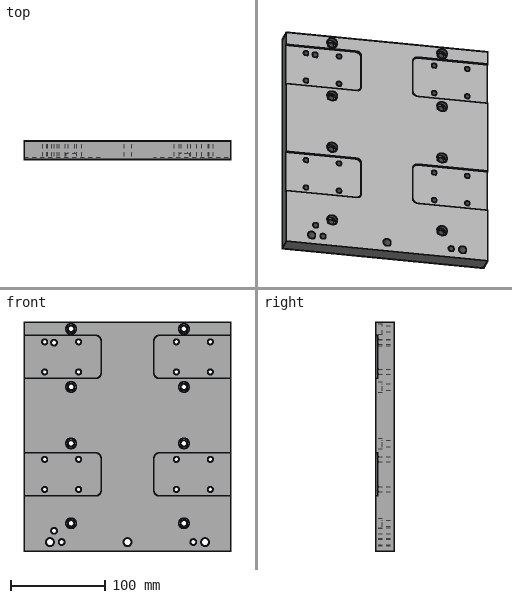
import cadquery as cq

width = 220.0
thickness = 20.0
height = 244.0
front_y = -thickness / 2
bottom_z = -height / 2

pocket_inner_x = 28.0
pocket_length = width / 2 - pocket_inner_x
pocket_height = 45.9
pocket_depth = 2.5
pocket_corner_radius = 5.9
pocket_rows_z = (85.0, -40.0)

pattern_center_x = 70.0
pattern_pitch_x = 36.0
pattern_pitch_z = 32.0
pattern_hole_diameter = 5.4

bolt_x = 60.0
bolt_rows_z = [bottom_z + rise for rise in (30.0, 115.0, 175.0, 236.7)]
bolt_hole_diameter = 6.5
counterbore_diameter = 11.0
counterbore_depth = 6.5

bottom_row_z = bottom_z + 10.0
large_hole_x = 82.5
large_hole_diameter = 8.3
small_hole_diameter = 6.0
side_hole_x = -78.0
side_hole_z = 100.0


def drill(points, diameter, depth):
    """Cylinders going into the plate from its front face at (x, z) points."""
    plane = cq.Workplane("XZ", origin=(0, front_y, 0))
    return plane.pushPoints(points).circle(diameter / 2).extrude(-depth)


def pocket(side, center_z):
    """Pocket volume with rounded inner corners, on side -1 (left) or +1 (right)."""
    center_x = side * (pocket_inner_x + pocket_length / 2)
    inner_edges = "(|Y) and (<X)" if side > 0 else "(|Y) and (>X)"
    return (
        cq.Workplane("XY")
        .box(pocket_length, pocket_depth, pocket_height)
        .edges(inner_edges)
        .fillet(pocket_corner_radius)
        .translate((center_x, front_y + pocket_depth / 2, center_z))
    )


result = cq.Workplane("XY").box(width, thickness, height)

pattern_points = []
for row_z in pocket_rows_z:
    for side in (-1, 1):
        result = result.cut(pocket(side, row_z))
        for step_x in (-0.5, 0.5):
            for step_z in (-0.5, 0.5):
                hole_x = side * pattern_center_x + step_x * pattern_pitch_x
                hole_z = row_z + step_z * pattern_pitch_z
                pattern_points.append((hole_x, hole_z))
result = result.cut(drill(pattern_points, pattern_hole_diameter, thickness))

bolt_points = [(x, z) for x in (-bolt_x, bolt_x) for z in bolt_rows_z]
result = result.cut(drill(bolt_points, bolt_hole_diameter, thickness))
result = result.cut(drill(bolt_points, counterbore_diameter, counterbore_depth))

large_points = [(x, bottom_row_z) for x in (-large_hole_x, 0, large_hole_x)]
result = result.cut(drill(large_points, large_hole_diameter, thickness))

small_points = [(x, bottom_row_z) for x in (-pattern_center_x, pattern_center_x)]
small_points += [(side_hole_x, z) for z in (-side_hole_z, side_hole_z)]
result = result.cut(drill(small_points, small_hole_diameter, thickness))